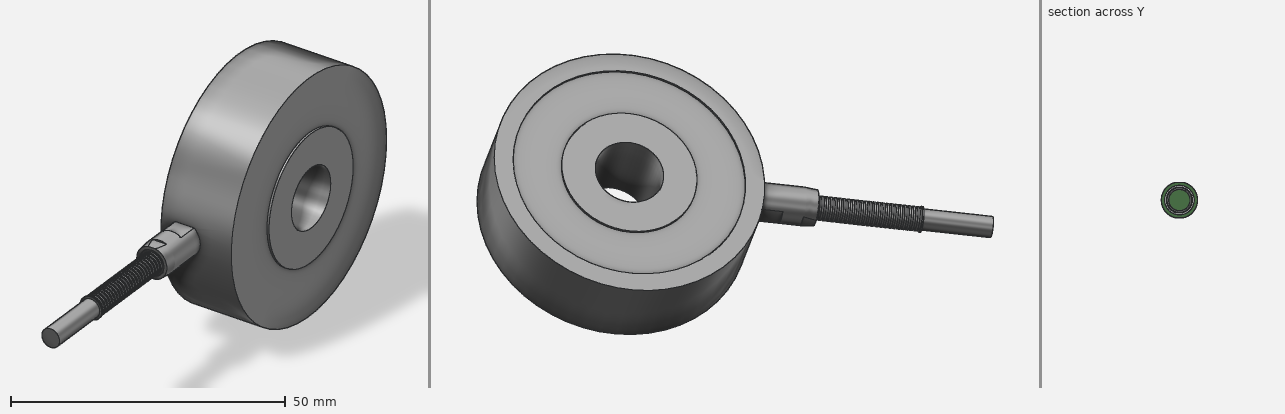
import cadquery as cq

OVERALL_LENGTH = 93.5

BODY_DIAMETER = 50.3
BODY_WIDTH = 15.5
BORE_DIAMETER = 12.7

HUB_DIAMETER = 25.1
RIM_INNER_DIAMETER = 43.2
RECESS_DEPTH = 0.5

PAD_DIAMETER = 27.2
PAD_HEIGHT = 0.5

GLAND_AXIS_X = 5.1
GLAND_DIAMETER = 7.1
TAPER_START = 33.3
TAPER_END_DIAMETER = 6.6
GLAND_END = 35.6
GLAND_EMBED = 1.4
GLAND_ROOT = BODY_DIAMETER / 2 - GLAND_EMBED

ROOT_FLAT_GAP = 5.8
ROOT_FLAT_END = 29.2
END_FLAT_GAP = 6.45
END_FLAT_START = 33.1

END_BORE_DIAMETER = 5.3
END_BORE_DEPTH = 0.5

RIB_DIAMETER = 4.5
RIB_COUNT = 24
RELIEF_END = 55.05
RIB_PITCH = (RELIEF_END - GLAND_END) / RIB_COUNT
RIB_WIDTH = RIB_PITCH / 2
COLLAR_DIAMETER = 4.8
COLLAR_WIDTH = 0.3
CABLE_DIAMETER = 3.9
CABLE_END = OVERALL_LENGTH - BODY_DIAMETER / 2


def disc(diameter, start, width):
    """Cylinder along +X, coaxial with the body."""
    return cq.Workplane("YZ", origin=(start, 0, 0)).circle(diameter / 2).extrude(width)


def gland_plane(start):
    """Workplane on the gland axis at a distance from the body axis, facing -Y."""
    return cq.Workplane("XZ", origin=(GLAND_AXIS_X, -start, 0))


def rod(diameter, start, end):
    """Cylinder along -Y on the gland axis."""
    return gland_plane(start).circle(diameter / 2).extrude(end - start)


def make_body():
    """Ring with the load pad on one face and the annular recess in the other."""
    recess = disc(RIM_INNER_DIAMETER, 0, RECESS_DEPTH).cut(disc(HUB_DIAMETER, 0, RECESS_DEPTH))
    pad = disc(PAD_DIAMETER, BODY_WIDTH, PAD_HEIGHT)
    return disc(BODY_DIAMETER, 0, BODY_WIDTH).union(pad).cut(recess)


def cut_flats(gland, gap, start, end):
    """Cut a pair of flats facing +Z and -Z into the gland."""
    around = gland_plane(start).circle(GLAND_DIAMETER).extrude(end - start)
    kept_slab = gland_plane(start).rect(2 * GLAND_DIAMETER, gap).extrude(end - start)
    return gland.cut(around.cut(kept_slab))


def make_gland():
    """Barrel with a tapered end, wrench flats at both ends and a shallow end bore."""
    barrel = rod(GLAND_DIAMETER, GLAND_ROOT, TAPER_START)
    taper = (
        gland_plane(TAPER_START)
        .circle(GLAND_DIAMETER / 2)
        .workplane(offset=GLAND_END - TAPER_START)
        .circle(TAPER_END_DIAMETER / 2)
        .loft()
    )
    gland = barrel.union(taper)
    gland = cut_flats(gland, ROOT_FLAT_GAP, GLAND_ROOT, ROOT_FLAT_END)
    gland = cut_flats(gland, END_FLAT_GAP, END_FLAT_START, GLAND_END)
    return gland.cut(rod(END_BORE_DIAMETER, GLAND_END - END_BORE_DEPTH, GLAND_END))


def make_cable():
    """Cable with the ribs and the end collar of the strain relief."""
    cable = rod(CABLE_DIAMETER, GLAND_END - END_BORE_DEPTH, CABLE_END)
    for index in range(RIB_COUNT):
        start = GLAND_END + index * RIB_PITCH
        cable = cable.union(rod(RIB_DIAMETER, start, start + RIB_WIDTH))
    return cable.union(rod(COLLAR_DIAMETER, RELIEF_END, RELIEF_END + COLLAR_WIDTH))


bore = disc(BORE_DIAMETER, 0, BODY_WIDTH + PAD_HEIGHT)

result = make_body().cut(bore).union(make_gland()).union(make_cable())